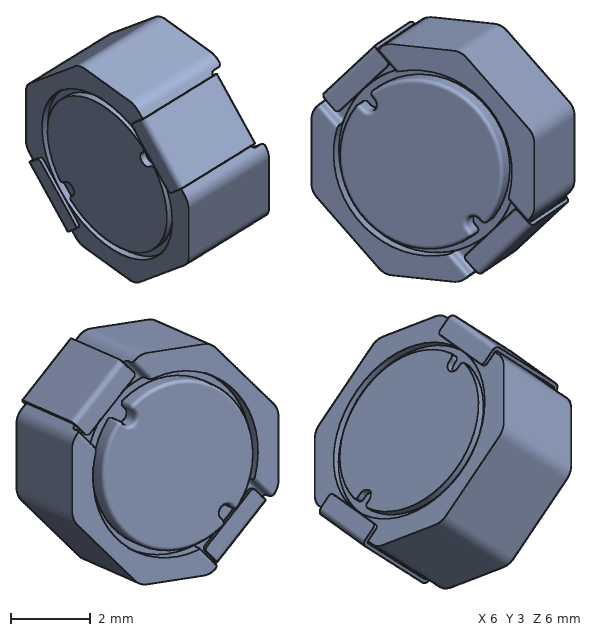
import cadquery as cq
import math

TOTAL_DEPTH = 3.0

SHIELD_WIDTH = 6.0
CORNER_FACE_RADIUS = 2.85
SHIELD_FILLET = 0.5
BORE_RADIUS = 2.4

TERMINAL_THICKNESS = 0.1
TERMINAL_OUTER_RADIUS = SHIELD_WIDTH / 2
TERMINAL_INNER_RADIUS = BORE_RADIUS
TERMINAL_WIDTH = 2.0
TERMINAL_BACK = 2.6
BEND_OUTER_RADIUS = 0.15
TERMINAL_CORNER_RADIUS = 0.1

BACK_FLANGE_RISE = 0.15
FRONT_GROOVE_DEPTH = 0.2
FLANGE_RADIUS = 2.2
RIM_FILLET = 0.1
NOTCH_RADIUS = 0.2
NOTCH_CENTER_RADIUS = 2.0
NOTCH_LIP_FILLET = 0.1

RECESS_CLEARANCE = 0.1
RECESS_WIDTH = TERMINAL_WIDTH + 2 * RECESS_CLEARANCE
RECESS_FILLET = RECESS_CLEARANCE

SHIELD_FRONT = TERMINAL_THICKNESS
SHIELD_BACK = TOTAL_DEPTH - BACK_FLANGE_RISE
RECESS_FLOOR = TERMINAL_BACK - TERMINAL_THICKNESS
CORE_FRONT = SHIELD_FRONT
HUB_FRONT = CORE_FRONT + FRONT_GROOVE_DEPTH
HUB_BACK = RECESS_FLOOR

TERMINAL_ANGLES = (-45, 135)


def turned(shape, angle):
    """Turn a shape about the core axis."""
    return shape.rotate((0, 0, 0), (0, 1, 0), angle)


def workplane_at(y):
    """Workplane across the core axis that extrudes toward +Y."""
    return cq.Workplane(cq.Plane(origin=(0, y, 0), xDir=(1, 0, 0), normal=(0, 1, 0)))


def disc(y_start, y_end, radius):
    return workplane_at(y_start).circle(radius).extrude(y_end - y_start)


def shield_square(width):
    """Square block as deep as the shield."""
    return workplane_at(SHIELD_FRONT).rect(width, width).extrude(SHIELD_BACK - SHIELD_FRONT)


def radial_block(x_start, x_end, width, y_start, y_end):
    """Box centred on the XY plane, running outward along +X."""
    corner = (x_start, y_start, 0)
    size = (x_end - x_start, y_end - y_start, width)
    return cq.Workplane("XY").box(*size, centered=(False, False, True)).translate(corner)


def make_recess():
    """Cutter for one terminal recess; its long edges flare out as rounded lips at the back face."""
    half_width = RECESS_WIDTH / 2
    lip_width = half_width + RECESS_FILLET
    lip_start = SHIELD_BACK - RECESS_FILLET
    lip_inset = RECESS_FILLET * (1 - math.sqrt(0.5))
    lip_middle = (half_width + lip_inset, SHIELD_BACK - lip_inset)
    profile = (
        cq.Workplane(cq.Plane(origin=(0, 0, 0), xDir=(0, 0, -1), normal=(1, 0, 0)))
        .moveTo(-half_width, RECESS_FLOOR)
        .lineTo(half_width, RECESS_FLOOR)
        .lineTo(half_width, lip_start)
        .threePointArc(lip_middle, (lip_width, SHIELD_BACK))
        .lineTo(-lip_width, SHIELD_BACK)
        .threePointArc((-lip_middle[0], lip_middle[1]), (-half_width, lip_start))
        .close()
    )
    return profile.extrude(SHIELD_WIDTH / 2).edges("<Y and |X").fillet(RECESS_FILLET)


def make_shield():
    """Octagonal sleeve with rounded corners, a round bore and two terminal recesses."""
    diamond = turned(shield_square(2 * CORNER_FACE_RADIUS), 45)
    shield = shield_square(SHIELD_WIDTH).intersect(diamond).edges("|Y").fillet(SHIELD_FILLET)
    shield = shield.cut(disc(SHIELD_FRONT, SHIELD_BACK, BORE_RADIUS))
    for angle in TERMINAL_ANGLES:
        shield = shield.cut(turned(make_recess(), angle))
    return shield


def make_notch(y_start, y_end):
    """Slot with a round inner end, running out past the flange rim at +X."""
    pocket = disc(y_start, y_end, NOTCH_RADIUS).translate((NOTCH_CENTER_RADIUS, 0, 0))
    slot = radial_block(NOTCH_CENTER_RADIUS, BORE_RADIUS, 2 * NOTCH_RADIUS, y_start, y_end)
    return pocket.union(slot)


def make_flange(y_start, y_end):
    """Disc with a round-lipped notch at its +X and -X ends."""
    notch = make_notch(y_start, y_end)
    flange = disc(y_start, y_end, FLANGE_RADIUS).cut(notch).cut(turned(notch, 180))
    return flange.edges("|Y").edges("<X or >X").fillet(NOTCH_LIP_FILLET)


def make_core():
    """Hub that fills the bore, with a smaller notched flange at each end."""
    front_flange = make_flange(CORE_FRONT, HUB_FRONT)
    back_flange = make_flange(HUB_BACK, TOTAL_DEPTH).faces(">Y").edges().fillet(RIM_FILLET)
    core = disc(HUB_FRONT, HUB_BACK, BORE_RADIUS).union(front_flange).union(back_flange)
    return turned(core, TERMINAL_ANGLES[0])


def make_terminal():
    """U-shaped clip: foot on the front face, plate beside the shield, arm in the recess."""
    clip = radial_block(TERMINAL_INNER_RADIUS, TERMINAL_OUTER_RADIUS, TERMINAL_WIDTH, 0, TERMINAL_BACK)
    clip = clip.edges(">X and |Z").fillet(BEND_OUTER_RADIUS)
    clip = clip.edges("<X and |Y").fillet(TERMINAL_CORNER_RADIUS)
    plate_inner_face = TERMINAL_OUTER_RADIUS - TERMINAL_THICKNESS
    opening = radial_block(0, plate_inner_face, TERMINAL_WIDTH, TERMINAL_THICKNESS, RECESS_FLOOR)
    opening = opening.edges(">X and |Z").fillet(BEND_OUTER_RADIUS - TERMINAL_THICKNESS)
    return clip.cut(opening)


shield = make_shield()
core = make_core()
terminals = [turned(make_terminal(), angle) for angle in TERMINAL_ANGLES]

result = cq.Compound.makeCompound(
    [shield.val(), core.val(), *[terminal.val() for terminal in terminals]]
)